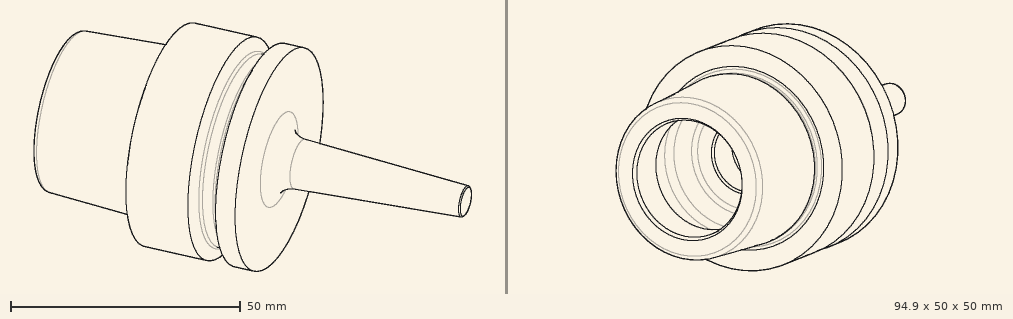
import cadquery as cq
import math


total_length = 94.9
gauge_face_x = 25.0
flange_end_x = 50.8
flange_radius = 50.0 / 2

shank_mouth_radius = 18.0
shank_taper = 1 / 20
shank_mouth_round = 1.0
taper_end_x = gauge_face_x - 2.0

root_slope_length = 0.8
root_radius = 19.0
root_round = 0.6
face_relief_radius = 20.4
face_relief_angle = math.radians(20)

groove_center_x = 42.9
groove_width = 6.55
groove_floor_width = 3.4
groove_floor_radius = 21.6
groove_round = 0.8

nose_root_round = 5.1
nose_tip_radius = 3.5
nose_angle = math.radians(3)
nose_tip_chamfer = 0.3

bore_radius = 13.0
bore_chamfer = 0.6
bore_chamfer_length = 0.95
bore_lip_depth = 9.8
undercut_radius = 16.0
undercut_end_x = 21.1
undercut_end_angle = math.radians(30)
undercut_end_round = 5.7
bore_floor_radius = 12.6
bore_floor_round = 1.3

hole_radius = 8.0
hole_chamfer = 0.5
hole_depth = 9.5
hole_floor_radius = 7.0


def rounded_outline(corners):
    """Closed outline on XY through (x, radius, rounding) corners, with tangent arcs where rounding > 0."""
    outline = cq.Workplane("XY").moveTo(corners[0][0], corners[0][1])
    for before, corner, after in zip(corners, corners[1:], corners[2:] + corners[:1]):
        point = cq.Vector(corner[0], corner[1])
        rounding = corner[2]
        if rounding == 0:
            outline = outline.lineTo(point.x, point.y)
            continue
        to_before = (cq.Vector(before[0], before[1]) - point).normalized()
        to_after = (cq.Vector(after[0], after[1]) - point).normalized()
        half_angle = to_before.getAngle(to_after) / 2
        setback = rounding / math.tan(half_angle)
        middle_distance = rounding / math.sin(half_angle) - rounding
        arc_start = point + to_before * setback
        arc_middle = point + (to_before + to_after).normalized() * middle_distance
        arc_end = point + to_after * setback
        outline = outline.lineTo(arc_start.x, arc_start.y)
        outline = outline.threePointArc((arc_middle.x, arc_middle.y), (arc_end.x, arc_end.y))
    return outline.close()


def turned(corners):
    return rounded_outline(corners).revolve(360, (0, 0, 0), (1, 0, 0))


def holder_body():
    shank_end_radius = shank_mouth_radius + shank_taper * taper_end_x
    face_relief_depth = (face_relief_radius - root_radius) * math.tan(face_relief_angle)
    nose_root_radius = nose_tip_radius + (total_length - flange_end_x) * math.tan(nose_angle)
    chamfer_start_radius = nose_tip_radius + nose_tip_chamfer * math.tan(nose_angle)
    return turned([
        (0, 0, 0),
        (0, shank_mouth_radius, shank_mouth_round),
        (taper_end_x, shank_end_radius, 0),
        (taper_end_x + root_slope_length, root_radius, root_round),
        (gauge_face_x + face_relief_depth, root_radius, root_round),
        (gauge_face_x, face_relief_radius, 0),
        (gauge_face_x, flange_radius, 0),
        (flange_end_x, flange_radius, 0),
        (flange_end_x, nose_root_radius, nose_root_round),
        (total_length - nose_tip_chamfer, chamfer_start_radius, 0),
        (total_length, nose_tip_radius - nose_tip_chamfer, 0),
        (total_length, 0, 0),
    ])


def gripper_groove():
    top_half_width = groove_width / 2
    floor_half_width = groove_floor_width / 2
    return turned([
        (groove_center_x - top_half_width, flange_radius, 0),
        (groove_center_x - floor_half_width, groove_floor_radius, groove_round),
        (groove_center_x + floor_half_width, groove_floor_radius, groove_round),
        (groove_center_x + top_half_width, flange_radius, 0),
    ])


def clamping_bore():
    undercut_end_run = (undercut_radius - bore_floor_radius) / math.tan(undercut_end_angle)
    bore_floor_x = undercut_end_x + undercut_end_run
    hole_floor_x = bore_floor_x + hole_depth
    return turned([
        (0, 0, 0),
        (0, bore_radius + bore_chamfer, 0),
        (bore_chamfer_length, bore_radius, 0),
        (bore_lip_depth, bore_radius, 0),
        (bore_lip_depth, undercut_radius, 0),
        (undercut_end_x, undercut_radius, undercut_end_round),
        (bore_floor_x, bore_floor_radius, bore_floor_round),
        (bore_floor_x, hole_radius + hole_chamfer, 0),
        (bore_floor_x + hole_chamfer, hole_radius, 0),
        (hole_floor_x - (hole_radius - hole_floor_radius), hole_radius, 0),
        (hole_floor_x, hole_floor_radius, 0),
        (hole_floor_x, 0, 0),
    ])


result = holder_body().cut(gripper_groove()).cut(clamping_bore())